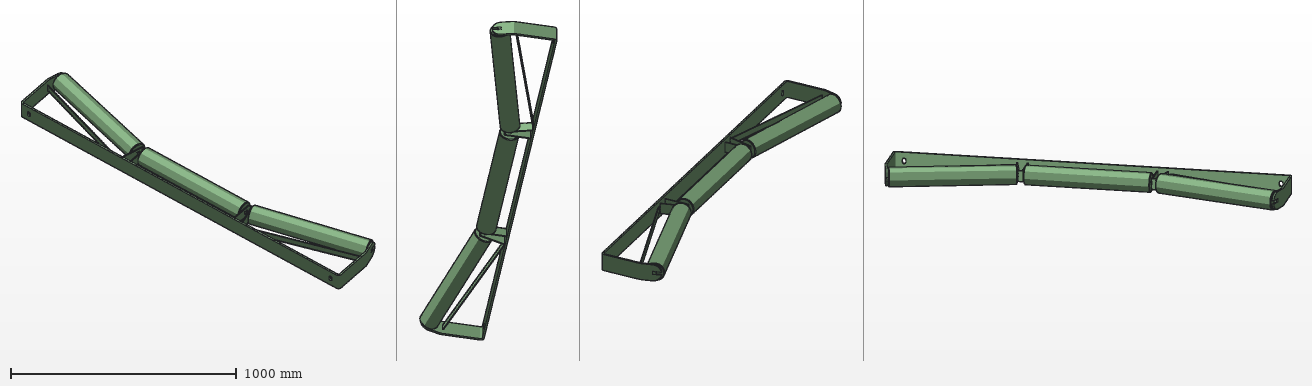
import cadquery as cq
import math


frame_length = 1800.0
bar_width = 81.0
trough_angle = 15.0
middle_axis_height = 103.0
side_axis_height = 106.0

roller_diameter = 88.0
roller_length = 570.0
roller_chamfer = 4.0
side_roller_start = 322.0
shaft_size = 15.0

frame_thickness = 9.0
frame_bend_radius = 15.0
knee_height = 196.0
mounting_slot_length = 25.0
mounting_slot_width = 16.0
mounting_slot_x = 851.0

bracket_thickness = 5.0
bracket_width = 50.0
bracket_height = 128.0
bracket_bend_radius = 7.0
bracket_gap = 4.5

strut_thickness = 4.5
strut_width = 30.0
strut_wall_height = 187.0
strut_foot_x = 350.0

tilt = math.radians(trough_angle)
tilt_cos = math.cos(tilt)
tilt_sin = math.sin(tilt)
half_length = frame_length / 2
half_roller = roller_length / 2
leg_tip_drop = shaft_size / 2
bracket_straight_face = half_roller + bracket_gap

leg_outer = (half_length - side_roller_start) * tilt_cos + (knee_height - side_axis_height) * tilt_sin
leg_inner = leg_outer - frame_thickness
slope_outer = -bracket_gap
slope_inner = slope_outer - bracket_thickness


def on_side_axis(distance, offset=0.0):
    """Point on the right side-roller axis, measured from the roller's inner end, offset square to it."""
    x = side_roller_start + distance * tilt_cos - offset * tilt_sin
    y = side_axis_height + distance * tilt_sin + offset * tilt_cos
    return (x, y)


def on_slope_at_height(distance, height):
    """Point at a given height on the plane square to the side axis at the given distance."""
    x, y = on_side_axis(distance)
    return (x - (height - y) * math.tan(tilt), height)


def flat_bar(points, width):
    """Plate with the given XY outline, centred on Z = 0."""
    return cq.Workplane("XY").polyline(points).close().extrude(width / 2, both=True)


def mirror_x(body):
    """Copy of a body on the opposite side of X = 0."""
    return body.mirror("YZ")


def tilt_to_side(body):
    """Move a body lying along X from the origin onto the right side-roller axis."""
    start_x, start_y = on_side_axis(0)
    return body.rotate((0, 0, 0), (0, 0, 1), trough_angle).translate((start_x, start_y, 0))


def shaft_bar(start, end):
    """Square bar along the X axis from start to end."""
    return cq.Workplane("YZ", origin=(start, 0, 0)).rect(shaft_size, shaft_size).extrude(end - start)


def drop_in_slot(start, end):
    """Cutter for an open-topped shaft slot, along X from start to end with the axis at Y = 0."""
    slot_depth = roller_diameter
    return (
        cq.Workplane("XY")
        .box(end - start, slot_depth, shaft_size, centered=(False, False, True))
        .translate((start, -shaft_size / 2, 0))
    )


def make_roller(shaft_start, shaft_end):
    """Roller from X = 0 to its length with a square shaft running through it."""
    barrel = cq.Workplane("YZ").circle(roller_diameter / 2).extrude(roller_length)
    barrel = barrel.faces("<X or >X").chamfer(roller_chamfer)
    return barrel.union(shaft_bar(shaft_start, shaft_end))


def make_frame():
    """Base bar with upturned ends that lean inwards above a knee and finish in slotted round tips."""
    knee_inset = frame_thickness * math.tan(tilt / 2)
    inner_x = half_length - frame_thickness
    right_outline = [
        (half_length, 0),
        (half_length, knee_height),
        on_side_axis(leg_outer, -leg_tip_drop),
        on_side_axis(leg_inner, -leg_tip_drop),
        (inner_x, knee_height - knee_inset),
        (inner_x, frame_thickness),
    ]
    left_outline = [(-x, y) for x, y in reversed(right_outline)]
    frame = flat_bar(right_outline + left_outline, bar_width)

    for side in (-1, 1):
        for height, inset in ((0, frame_thickness), (knee_height, -knee_inset)):
            outer_edge = cq.NearestToPointSelector((side * half_length, height, 0))
            frame = frame.edges(outer_edge).fillet(frame_bend_radius)
            inner_edge = cq.NearestToPointSelector((side * inner_x, height + inset, 0))
            frame = frame.edges(inner_edge).fillet(frame_bend_radius - frame_thickness)

    tip_plane = cq.Workplane("YZ", origin=(leg_inner, -leg_tip_drop, 0))
    tip = tilt_to_side(tip_plane.circle(bar_width / 2).extrude(frame_thickness))
    slot = tilt_to_side(drop_in_slot(leg_inner - frame_thickness, leg_outer + frame_thickness))
    frame = frame.union(tip).union(mirror_x(tip))
    frame = frame.cut(slot).cut(mirror_x(slot))

    mounting_slots = (
        cq.Workplane("XZ")
        .pushPoints([(-mounting_slot_x, 0), (mounting_slot_x, 0)])
        .slot2D(mounting_slot_length, mounting_slot_width, 90)
        .extrude(-frame_thickness)
    )
    return frame.cut(mounting_slots)


def make_bracket():
    """Right inner bracket: a straight leg and a sloping leg joined across the top, holed for shafts."""
    straight_back = bracket_straight_face + bracket_thickness
    bridge_underside = bracket_height - bracket_thickness
    outline = [
        (bracket_straight_face, frame_thickness),
        (bracket_straight_face, bracket_height),
        on_slope_at_height(slope_outer, bracket_height),
        on_slope_at_height(slope_outer, frame_thickness),
        on_slope_at_height(slope_inner, frame_thickness),
        on_slope_at_height(slope_inner, bridge_underside),
        (straight_back, bridge_underside),
        (straight_back, frame_thickness),
    ]
    bracket = flat_bar(outline, bracket_width)
    outer_edge = cq.NearestToPointSelector((bracket_straight_face, bracket_height, 0))
    bracket = bracket.edges(outer_edge).fillet(bracket_bend_radius)
    inner_edge = cq.NearestToPointSelector((straight_back, bridge_underside, 0))
    bracket = bracket.edges(inner_edge).fillet(bracket_bend_radius - bracket_thickness)

    straight_hole = shaft_bar(bracket_straight_face, straight_back).translate((0, middle_axis_height, 0))
    sloping_hole = tilt_to_side(shaft_bar(slope_inner, slope_outer))
    return bracket.cut(straight_hole).cut(sloping_hole)


def make_strut():
    """Right diagonal strut from the base to the end leg."""
    wall_x = half_length - frame_thickness
    run = wall_x - strut_foot_x
    slope = math.atan2(strut_wall_height - frame_thickness, run)
    outline = [
        (strut_foot_x, frame_thickness),
        (wall_x, strut_wall_height),
        (wall_x, strut_wall_height - strut_thickness / math.cos(slope)),
        (strut_foot_x + strut_thickness / math.sin(slope), frame_thickness),
    ]
    return flat_bar(outline, strut_width)


frame = make_frame()
right_bracket = make_bracket()
right_strut = make_strut()

middle_overhang = bracket_gap + bracket_thickness
middle_roller = make_roller(-middle_overhang, roller_length + middle_overhang)
middle_roller = middle_roller.translate((-half_roller, middle_axis_height, 0))
right_roller = tilt_to_side(make_roller(slope_inner, leg_outer))

paired_bodies = []
for body in (right_bracket, right_strut, right_roller):
    paired_bodies += [body.val(), mirror_x(body).val()]

result = cq.Compound.makeCompound([frame.val(), middle_roller.val(), *paired_bodies])